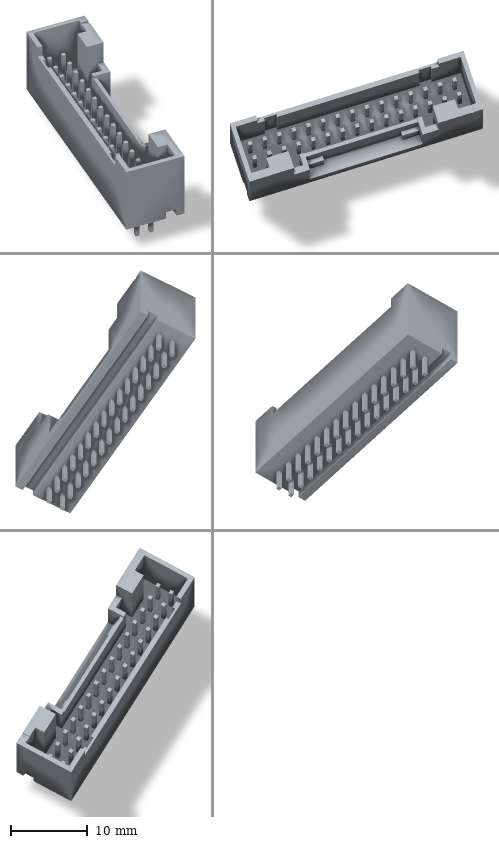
import cadquery as cq

length = 32.0
depth = 8.3
height = 9.6
floor_top = 1.7
end_wall = 0.6
front_wall = 0.67
rear_wall = 1.05

front_low_top = 8.05
front_corner_length = 3.6
groove_from_end = 4.58
groove_length = 1.7
groove_wall = 0.3

block_start = 3.1
block_end = 6.1
block_depth = 2.4
step_wall_end = 8.3
step_wall = 0.65
step_rear_wall = 0.85
step_wall_top = 6.3
latch_wall = 0.48
latch_wall_top = 5.9

ledge_length = 2.35
ledge_depth = 0.6
ledge_top = 3.85

mark_start = 1.2
mark_width = 0.48
mark_depth = 0.2

channel_from_rear = 1.1
channel_width = 1.55
channel_height = 1.1

pins_per_row = 15
pitch = 2.0
pin_size = 0.5
pin_top = 5.9
pin_tail = 3.1
front_row_y = 2.37

half_length = length / 2
inner_rear_y = depth - rear_wall


def box(x_range, y_range, z_range):
    """Axis-aligned box between the given limits."""
    (x0, x1), (y0, y1), (z0, z1) = x_range, y_range, z_range
    return cq.Workplane("XY").box(x1 - x0, y1 - y0, z1 - z0, centered=False).translate((x0, y0, z0))


def both_ends(solid):
    """The solid together with its mirror image at the other end."""
    return solid.union(solid.mirror("YZ"))


def end_span(start, end):
    """X limits given as distances from the left end."""
    return (start - half_length, end - half_length)


def middle_span(from_end):
    """X limits of the stretch that stops the same distance from each end."""
    return (from_end - half_length, half_length - from_end)


def make_shell():
    """Open-topped box with a low front wall and the low middle of the rear side."""
    shell = box(middle_span(0), (0, depth), (0, height))
    shell = shell.cut(box(middle_span(end_wall), (front_wall, inner_rear_y), (floor_top, height)))
    shell = shell.cut(box(middle_span(front_corner_length), (0, front_wall), (front_low_top, height)))
    groove = box(
        end_span(groove_from_end, groove_from_end + groove_length),
        (groove_wall, front_wall),
        (floor_top, height),
    )
    shell = shell.cut(both_ends(groove))
    return shell.cut(box(middle_span(block_end), (inner_rear_y, depth), (floor_top, height)))


def make_rear_side():
    """End blocks, stepped walls, latch wall and latch ledges."""
    inner_y = depth - block_depth
    latch_outer_y = inner_y + latch_wall
    block = box(end_span(block_start, block_end), (inner_y, depth), (0, height))
    step_z = (0, step_wall_top)
    rear_strip = box(end_span(block_end, step_wall_end), (depth - step_rear_wall, depth), step_z)
    cross_wall = box(end_span(step_wall_end - step_wall, step_wall_end), (inner_y, depth), step_z)
    ledge = box(
        end_span(step_wall_end, step_wall_end + ledge_length),
        (latch_outer_y, latch_outer_y + ledge_depth),
        (floor_top, ledge_top),
    )
    end_features = block.union(rear_strip).union(cross_wall).union(ledge)
    wall = box(middle_span(step_wall_end), (inner_y, latch_outer_y), (0, latch_wall_top))
    return both_ends(end_features).union(wall)


def make_mark():
    """Shallow slot across the top of the rear wall at the left end."""
    return box(
        end_span(mark_start, mark_start + mark_width),
        (inner_rear_y, depth),
        (height - mark_depth, height),
    )


def make_channel():
    """Channel along the whole underside."""
    rear_y = depth - channel_from_rear
    return box(middle_span(0), (rear_y - channel_width, rear_y), (0, channel_height))


def make_pins():
    """Two rows of square pins running through the floor."""
    rows_centre_y = front_row_y + pitch / 2
    return (
        cq.Workplane("XY", origin=(0, rows_centre_y, -pin_tail))
        .rarray(pitch, pitch, pins_per_row, 2)
        .rect(pin_size, pin_size)
        .extrude(pin_tail + pin_top)
    )


housing = make_shell().union(make_rear_side()).cut(make_mark()).cut(make_channel())
result = housing.union(make_pins())